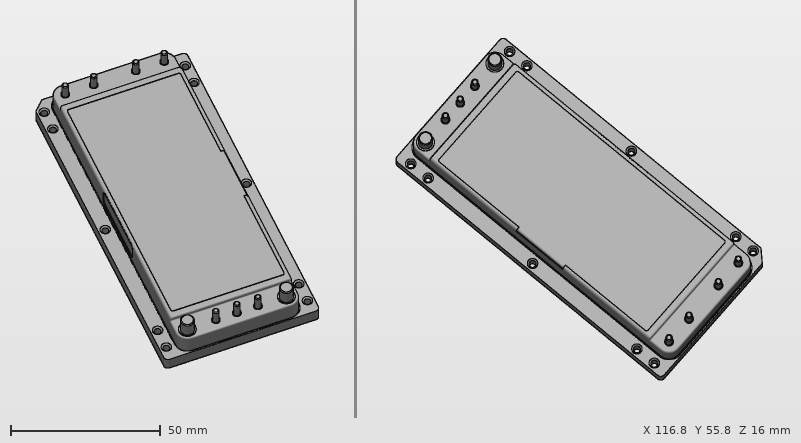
import cadquery as cq

PLATE_LENGTH = 116.8
PLATE_WIDTH = 55.8
PLATE_THICKNESS = 4.8
PLATE_CORNER_RADIUS = 1.5
PLATE_KEY_CHAMFER = 3.7

HOLE_DIAMETER = 2.3
COUNTERSINK_DIAMETER = 3.5
COUNTERSINK_ANGLE = 90
HOLE_ROW_Y = 25.5
TERMINAL_X = 53.3
INNER_HOLE_X = 45.7
HOLE_COLUMNS = [-TERMINAL_X, -INNER_HOLE_X, 0, INNER_HOLE_X, TERMINAL_X]

CASE_LENGTH = 114.6
CASE_WIDTH = 43.9
CASE_CORNER_RADIUS = 4.1
SHELF_Z = 11.0
CASE_TOP_Z = 12.7
RAISED_LENGTH = 96.5
LONG_EDGE_RADIUS = 1.0
EDGE_RADIUS = 0.7
STEP_FOOT_RADIUS = 0.4

GAP_WIDTH = 0.5
GAP_DEPTH = 0.9

LABEL_LENGTH = 91.4
LABEL_WIDTH = 40.9
LABEL_CORNER_RADIUS = 0.7
LABEL_DEPTH = 0.2
TAB_LENGTH = 20.3

SIDE_RECESS_LENGTH = 25.5
SIDE_RECESS_HEIGHT = 6.5
SIDE_RECESS_X = 2.5
SIDE_RECESS_BOTTOM_Z = 5.3
SIDE_RECESS_CORNER_RADIUS = 1.5
SIDE_RECESS_DEPTH = 0.4

TERMINAL_TOP_Z = 16.0
TERMINAL_CHAMFER = 0.4
WELL_DEPTH = 0.4
PIN_DIAMETER = 2.2
PIN_WELL_DIAMETER = 2.9
POST_DIAMETER = 4.7
POST_WELL_DIAMETER = 6.0
OUTER_TERMINAL_Y = 17.9
INNER_TERMINAL_Y = 7.6
PIN_POINTS = [
    (-TERMINAL_X, -OUTER_TERMINAL_Y),
    (-TERMINAL_X, -INNER_TERMINAL_Y),
    (-TERMINAL_X, INNER_TERMINAL_Y),
    (-TERMINAL_X, OUTER_TERMINAL_Y),
    (TERMINAL_X, -INNER_TERMINAL_Y),
    (TERMINAL_X, 0),
    (TERMINAL_X, INNER_TERMINAL_Y),
]
POST_POINTS = [(TERMINAL_X, -OUTER_TERMINAL_Y), (TERMINAL_X, OUTER_TERMINAL_Y)]


def rounded_block(length, width, bottom_z, top_z, corner_radius):
    """Block centred on the Z axis with rounded vertical edges."""
    block = cq.Workplane("XY").workplane(offset=bottom_z).rect(length, width).extrude(top_z - bottom_z)
    return block.edges("|Z").fillet(corner_radius)


def make_plate():
    """Plate with one chamfered key corner, countersunk holes and the gap around the case."""
    plate = cq.Workplane("XY").rect(PLATE_LENGTH, PLATE_WIDTH).extrude(PLATE_THICKNESS)
    plate = plate.edges("|Z and (<X and <Y)").chamfer(PLATE_KEY_CHAMFER)
    rounded_corners = [
        (PLATE_LENGTH / 2, -PLATE_WIDTH / 2),
        (PLATE_LENGTH / 2, PLATE_WIDTH / 2),
        (-PLATE_LENGTH / 2, PLATE_WIDTH / 2),
    ]
    for x, y in rounded_corners:
        corner = cq.selectors.NearestToPointSelector((x, y, PLATE_THICKNESS / 2))
        plate = plate.edges("|Z").edges(corner).fillet(PLATE_CORNER_RADIUS)

    hole_points = [(x, y) for x in HOLE_COLUMNS for y in (-HOLE_ROW_Y, HOLE_ROW_Y)]
    plate = (
        plate.faces(">Z")
        .workplane(origin=(0, 0, PLATE_THICKNESS))
        .pushPoints(hole_points)
        .cskHole(HOLE_DIAMETER, COUNTERSINK_DIAMETER, COUNTERSINK_ANGLE)
    )
    gap = rounded_block(
        CASE_LENGTH + 2 * GAP_WIDTH,
        CASE_WIDTH + 2 * GAP_WIDTH,
        PLATE_THICKNESS - GAP_DEPTH,
        PLATE_THICKNESS,
        CASE_CORNER_RADIUS + GAP_WIDTH,
    )
    return plate.cut(gap)


def cut_shelf(case, side):
    """Lower one end of the case (side is -1 or 1) to the shelf and round the edges around it."""
    step_x = side * RAISED_LENGTH / 2
    shelf_length = (CASE_LENGTH - RAISED_LENGTH) / 2
    shelf_x = step_x + side * shelf_length / 2
    step_height = CASE_TOP_Z - SHELF_Z
    shelf_plane = cq.Workplane("XY", origin=(shelf_x, 0, SHELF_Z))
    space = shelf_plane.rect(shelf_length, CASE_WIDTH).extrude(step_height)
    case = case.cut(space)

    foot = cq.selectors.NearestToPointSelector((step_x, 0, SHELF_Z))
    foot_edge = case.edges(foot).val()
    step_face = case.faces(cq.selectors.NearestToPointSelector((step_x, 0, SHELF_Z + step_height / 2)))
    shelf_face = case.faces(cq.selectors.NearestToPointSelector((shelf_x, 0, SHELF_Z)))
    boundary = step_face.edges().vals() + shelf_face.edges().vals()
    outer_edges = [edge for edge in boundary if not edge.isSame(foot_edge)]
    case = case.newObject(outer_edges).fillet(EDGE_RADIUS)
    return case.edges(foot).fillet(STEP_FOOT_RADIUS)


def make_case():
    """Case with rounded upper edges, raised between the two end shelves."""
    bottom_z = PLATE_THICKNESS - GAP_DEPTH
    case = rounded_block(CASE_LENGTH, CASE_WIDTH, bottom_z, CASE_TOP_Z, CASE_CORNER_RADIUS)
    case = case.faces(">Z").edges("|X").fillet(LONG_EDGE_RADIUS)
    for side in (-1, 1):
        case = cut_shelf(case, side)
    return case


def make_label_recess():
    """Shallow rounded rectangle in the top of the case."""
    return rounded_block(LABEL_LENGTH, LABEL_WIDTH, CASE_TOP_Z - LABEL_DEPTH, CASE_TOP_Z, LABEL_CORNER_RADIUS)


def make_tab_recess():
    """Strip that carries the label recess over the rounded +Y edge at the same depth."""
    inner_y = LABEL_WIDTH / 2 - LABEL_CORNER_RADIUS
    outer_y = CASE_WIDTH / 2
    bottom_z = CASE_TOP_Z - LONG_EDGE_RADIUS
    width = outer_y - inner_y
    strip = cq.Workplane("XY").box(TAB_LENGTH, width, LONG_EDGE_RADIUS, centered=(True, False, False))
    core_width = width - LABEL_DEPTH
    core_height = LONG_EDGE_RADIUS - LABEL_DEPTH
    core = (
        cq.Workplane("YZ", origin=(-TAB_LENGTH / 2, 0, 0))
        .lineTo(core_width, 0)
        .radiusArc((core_width - core_height, core_height), -core_height)
        .lineTo(0, core_height)
        .close()
        .extrude(TAB_LENGTH)
    )
    return strip.cut(core).translate((0, inner_y, bottom_z))


def make_side_recess():
    """Shallow rounded rectangle in the -Y wall of the case."""
    center_z = SIDE_RECESS_BOTTOM_Z + SIDE_RECESS_HEIGHT / 2
    return (
        cq.Workplane("XZ", origin=(SIDE_RECESS_X, -CASE_WIDTH / 2, center_z))
        .rect(SIDE_RECESS_LENGTH, SIDE_RECESS_HEIGHT)
        .extrude(-SIDE_RECESS_DEPTH)
        .edges("|Y")
        .fillet(SIDE_RECESS_CORNER_RADIUS)
    )


def add_terminals(body, points, diameter, well_diameter):
    """Upright chamfered cylinders, each standing in a shallow round well in the shelf."""
    floor_z = SHELF_Z - WELL_DEPTH
    shelf = cq.Workplane("XY", origin=(0, 0, floor_z)).pushPoints(points)
    wells = shelf.circle(well_diameter / 2).extrude(WELL_DEPTH)
    terminals = (
        shelf.circle(diameter / 2)
        .extrude(TERMINAL_TOP_Z - floor_z)
        .faces(">Z")
        .chamfer(TERMINAL_CHAMFER)
    )
    return body.cut(wells).union(terminals)


result = make_plate().union(make_case())
result = result.cut(make_label_recess()).cut(make_tab_recess()).cut(make_side_recess())
result = add_terminals(result, PIN_POINTS, PIN_DIAMETER, PIN_WELL_DIAMETER)
result = add_terminals(result, POST_POINTS, POST_DIAMETER, POST_WELL_DIAMETER)